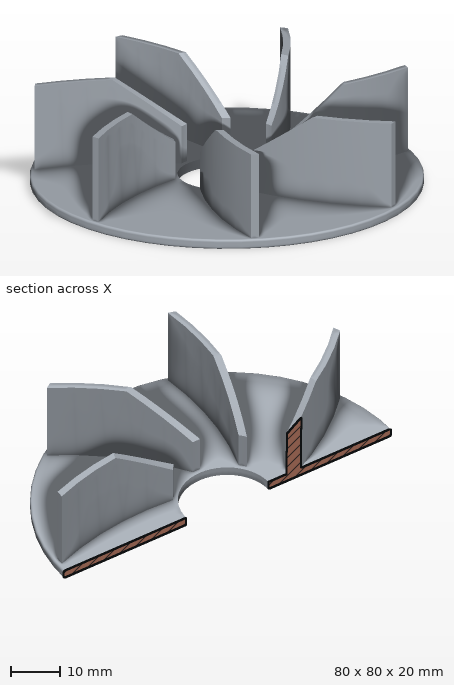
import cadquery as cq

plate_diameter = 80.0
bore_diameter = 20.0
plate_thickness = 2.0
rim_round = 0.5

blade_count = 7
blade_thickness = 1.5
blade_arc_radius = 65.6
blade_arc_center = (-24.15, 55.6)
blade_inner_radius = 10.95
blade_outer_radius = 39.0
shoulder_radius = 24.0
inner_tip_height = 10.0
total_height = 20.0


def make_plate():
    """Round disc with rounded rims and a plain central bore."""
    disc = cq.Workplane("XY").circle(plate_diameter / 2).extrude(plate_thickness)
    disc = disc.edges("%CIRCLE").fillet(rim_round)
    bore = cq.Workplane("XY").circle(bore_diameter / 2).extrude(plate_thickness)
    return disc.cut(bore)


def make_blade_envelope():
    """Revolved ring bounding the blades; its radial section is the blade profile."""
    base_height = plate_thickness / 2
    return (
        cq.Workplane("XZ")
        .moveTo(blade_inner_radius, base_height)
        .lineTo(blade_outer_radius, base_height)
        .lineTo(blade_outer_radius, total_height)
        .lineTo(shoulder_radius, total_height)
        .lineTo(blade_inner_radius, inner_tip_height)
        .close()
        .revolve(360, (0, 0, 0), (0, 1, 0))
    )


def make_blade():
    """One curved wall on the +X side, trimmed to the blade envelope."""
    curved_wall = (
        cq.Workplane("XY")
        .center(*blade_arc_center)
        .circle(blade_arc_radius + blade_thickness / 2)
        .circle(blade_arc_radius - blade_thickness / 2)
        .extrude(total_height)
    )
    positive_x_side = cq.Workplane("XY").box(
        plate_diameter, plate_diameter, total_height, centered=(False, True, False)
    )
    return curved_wall.intersect(positive_x_side).intersect(make_blade_envelope())


result = make_plate()
blade = make_blade()
for index in range(blade_count):
    angle = index * 360 / blade_count
    result = result.union(blade.rotate((0, 0, 0), (0, 0, 1), angle))